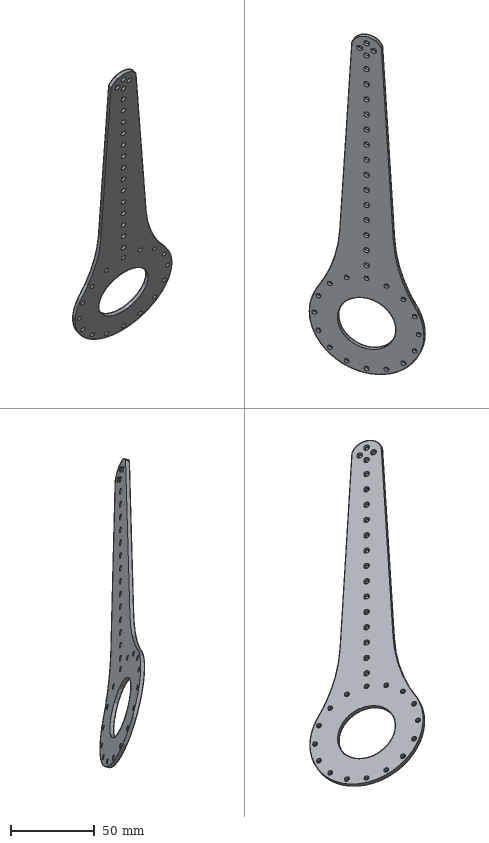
import cadquery as cq
import math

thickness = 2.5
total_length = 247.0
hub_diameter = 73.0
hub_radius = hub_diameter / 2
hub_height = hub_radius
bore_diameter = 37.0

shoulder_half_width = 17.0
shoulder_height = 101.3
tip_half_width = 9.5
tip_corner_height = 240.5

flank_angle = 28.0
flank_sagitta = 3.2

hub_hole_count = 16
hub_hole_circle_radius = 33.0
hub_hole_diameter = 3.0

row_hole_count = 14
row_start_height = 79.0
row_end_height = 223.0
row_pitch = (row_end_height - row_start_height) / (row_hole_count - 1)
row_hole_diameter = 3.5

tip_hole_count = 4
tip_hole_circle_radius = 4.5
tip_pattern_height = 237.7
tip_hole_diameter = 3.5


def ring_points(count, radius, center_height):
    """Points equally spaced on a circle, starting at the top."""
    points = []
    for index in range(count):
        angle = math.pi / 2 + index * 2 * math.pi / count
        points.append((radius * math.cos(angle), center_height + radius * math.sin(angle)))
    return points


def make_plate():
    """Round hub blended into a tapered arm with a rounded tip."""
    join_y = hub_radius * math.cos(math.radians(flank_angle))
    join_z = hub_height + hub_radius * math.sin(math.radians(flank_angle))

    chord_y = join_y - shoulder_half_width
    chord_z = shoulder_height - join_z
    chord = math.hypot(chord_y, chord_z)
    mid_y = (join_y + shoulder_half_width) / 2 - flank_sagitta * chord_z / chord
    mid_z = (join_z + shoulder_height) / 2 - flank_sagitta * chord_y / chord

    return (
        cq.Workplane("YZ")
        .moveTo(join_y, join_z)
        .threePointArc((mid_y, mid_z), (shoulder_half_width, shoulder_height))
        .lineTo(tip_half_width, tip_corner_height)
        .threePointArc((0, total_length), (-tip_half_width, tip_corner_height))
        .lineTo(-shoulder_half_width, shoulder_height)
        .threePointArc((-mid_y, mid_z), (-join_y, join_z))
        .threePointArc((0, 0), (join_y, join_z))
        .close()
        .extrude(thickness)
    )


def make_holes(points, diameter):
    """Cylinders through the plate thickness."""
    return cq.Workplane("YZ").pushPoints(points).circle(diameter / 2).extrude(thickness)


row_points = [(0, row_start_height + index * row_pitch) for index in range(row_hole_count)]

result = (
    make_plate()
    .cut(make_holes([(0, hub_height)], bore_diameter))
    .cut(make_holes(ring_points(hub_hole_count, hub_hole_circle_radius, hub_height), hub_hole_diameter))
    .cut(make_holes(row_points, row_hole_diameter))
    .cut(make_holes(ring_points(tip_hole_count, tip_hole_circle_radius, tip_pattern_height), tip_hole_diameter))
)